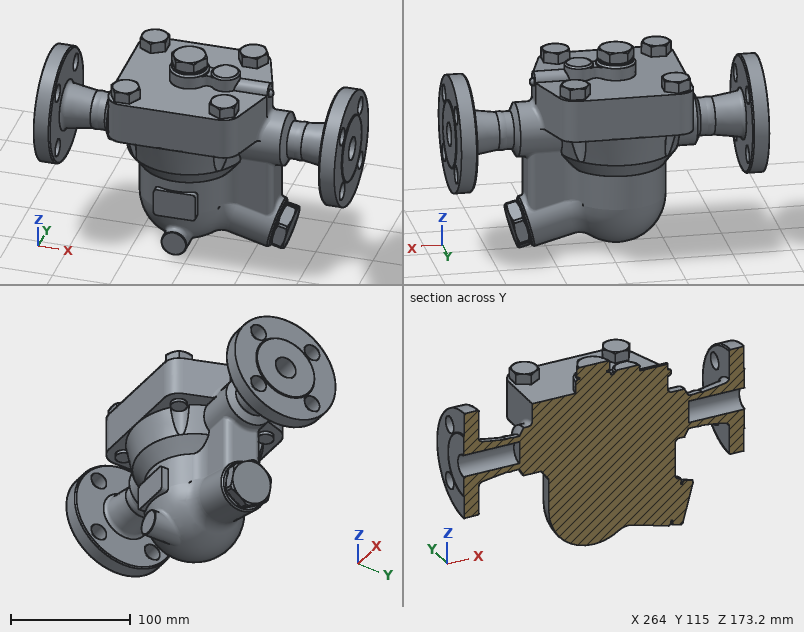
import cadquery as cq
import math


overlap = 1.0
margin = 1.0

pipe_mid_x = 10.0
face_to_face = 264.0
pipe_radius = 16.0
raised_face_radius = 29.0
raised_face_height = 0.7
flange_radius = 50.0
flange_back = 14.8
flange_chamfer = 1.2
flange_bolt_circle = 75.0
flange_hole_diameter = 15.0
flange_hole_count = 4
flange_hole_start_angle = 45.0
bore_diameter = 20.0
neck_root_radius = 22.0
neck_root_length = 3.5
neck_large_radius = 19.2
neck_length = 21.7
bead_length = 6.3
bead_height = 0.5
hub_radius = 23.0
hub_half_length = 79.5
hub_chamfer_length = 4.0
hub_fillet = 3.8

cover_half_width = 57.5
cover_left_x = -57.5
cover_shoulder_x = 53.4
cover_nose_x = 70.0
cover_nose_half_width = 9.0
cover_corner_radius = 14.5
body_flange_bottom_z = 7.2
cover_joint_z = 27.0
cover_top_z = 43.8
bolt_offset = 43.0
hex_trim_angle = 30.0
bolt_head_across_flats = 22.0
bolt_head_height = 9.8
bolt_turns = [(-1, -1, 0), (-1, 1, 30), (1, -1, 30), (1, 1, 0)]
stud_diameter = 14.0
stud_stick_out = 3.0
scoop_diameter = 18.0

plug_boss_radius = 16.7
plug_boss_top_z = 56.4
boss_chamfer = 1.8
plug_neck_diameter = 26.0
plug_neck_height = 1.0
plug_across_flats = 27.0
plug_hex_height = 10.0
cap_x = 31.6
cap_radius = 12.2
cap_chamfer = 1.6
web_top_z = 53.5
web_fillet = 6.0
ridge_radius = 8.0
ridge_axis_z = 42.5
knob_radius = 3.4
knob_z = 41.8

bowl_radius = 42.0
bowl_centre_z = -62.3
bowl_cylinder_top_z = -32.3
shoulder_radius = 52.0
shoulder_z = -18.8
bowl_top_radius = 57.5

pad_width = 36.6
pad_bottom_z = -66.6
pad_height = 24.8
pad_front_y = -44.2
pad_back_y = -30.0
pad_corner_radius = 3.0
drain_diameter = 22.0
drain_z = -90.6
drain_front_y = -46.0
drain_chamfer = 0.5
drain_fillet = 3.0

branch_tilt = 15.0
branch_radius = 22.0
branch_length = 80.5
branch_chamfer = 1.5
branch_fillet = 16.4
branch_neck_diameter = 34.0
branch_neck_height = 1.0
branch_plug_across_flats = 37.0
branch_plug_corner_radius = 20.7
branch_plug_height = 10.6

rib_end_x = 77.2
rib_half_width = 17.2
rib_edge_fillet = 6.0
rib_bowl_fillet = 16.8
rib_bottom_z = -70.0
rib_joint_fillet = 3.0
rib_joint_top_z = -59.0


def cylinder(radius, z_low, z_high, x=0.0, y=0.0):
    return cq.Workplane("XY", origin=(x, y, z_low)).circle(radius).extrude(z_high - z_low)


def hexagon(across_flats, height, chamfer_bottom=False, rounded_radius=None):
    """Hexagon head on z = 0, vertices on X, ends trimmed by a flat cone.

    With rounded_radius, the six corners are also turned down to that radius.
    """
    corner = across_flats / math.sqrt(3)
    flat = across_flats / 2
    outer = rounded_radius or corner
    drop = (outer - flat) * math.tan(math.radians(hex_trim_angle))
    head = cq.Workplane("XY").polygon(6, 2 * corner).extrude(height)
    trim = cq.Workplane("XZ")
    if chamfer_bottom:
        trim = trim.lineTo(flat, 0).lineTo(outer, drop)
    else:
        trim = trim.lineTo(outer, 0)
    trim = trim.lineTo(outer, height - drop).lineTo(flat, height).lineTo(0, height).close()
    return head.intersect(trim.revolve(360, (0, 0), (0, 1)))


def cover_plate(z_low, z_high):
    outline = [
        (cover_left_x, -cover_half_width),
        (cover_shoulder_x, -cover_half_width),
        (cover_nose_x, -cover_nose_half_width),
        (cover_nose_x, cover_nose_half_width),
        (cover_shoulder_x, cover_half_width),
        (cover_left_x, cover_half_width),
    ]
    plate = cq.Workplane("XY", origin=(0, 0, z_low)).polyline(outline).close().extrude(z_high - z_low)
    return plate.edges("|Z").edges("<Y or >Y").fillet(cover_corner_radius)


def hub_rod():
    """Plain hub barrel through the body, without its tapered ends."""
    length = 2 * (hub_half_length - hub_chamfer_length)
    return cq.Workplane("YZ", origin=(pipe_mid_x - length / 2, 0, 0)).circle(hub_radius).extrude(length)


def body_flange():
    """Flange plate with the hub barrel blended into its end faces."""
    plate = cover_plate(body_flange_bottom_z, cover_joint_z)
    above = cq.Workplane("XY", origin=(pipe_mid_x, 0, body_flange_bottom_z)).rect(
        face_to_face, 2 * cover_half_width
    ).extrude(hub_radius)
    joined = plate.union(hub_rod().intersect(above))
    left_joint = cq.selectors.BoxSelector(
        (cover_left_x - margin, -hub_radius - margin, body_flange_bottom_z + margin),
        (cover_left_x + margin, hub_radius + margin, hub_radius + margin),
    )
    right_joint = cq.selectors.BoxSelector(
        (cover_shoulder_x, -hub_radius - margin, body_flange_bottom_z + margin),
        (cover_nose_x + margin, hub_radius + margin, hub_radius + margin),
    )
    return joined.edges(left_joint + right_joint).fillet(hub_fillet)


def pipe_half():
    """Right half of the pipe run: hub end, weld bead, neck and flange."""
    face = face_to_face / 2
    rim = face - raised_face_height
    back = face - flange_back
    root = back - neck_root_length
    neck = root - neck_length
    bead = neck - bead_length
    hub_taper = hub_half_length - hub_chamfer_length
    half = (
        cq.Workplane("XY")
        .moveTo(0, 0)
        .lineTo(0, hub_radius)
        .lineTo(hub_taper, hub_radius)
        .lineTo(hub_half_length, pipe_radius)
        .lineTo(bead, pipe_radius)
        .threePointArc((bead + bead_length / 2, pipe_radius + bead_height), (neck, pipe_radius))
        .lineTo(root, neck_large_radius)
        .tangentArcPoint((back, neck_root_radius), relative=False)
        .lineTo(back, flange_radius - flange_chamfer)
        .lineTo(back + flange_chamfer, flange_radius)
        .lineTo(rim, flange_radius)
        .lineTo(rim, raised_face_radius)
        .lineTo(face, raised_face_radius - raised_face_height)
        .lineTo(face, 0)
        .close()
        .revolve(360, (0, 0, 0), (1, 0, 0))
    )
    holes = cq.Workplane("YZ", origin=(back, 0, 0)).polarArray(
        flange_bolt_circle / 2, flange_hole_start_angle, 360, flange_hole_count
    ).circle(flange_hole_diameter / 2).extrude(flange_back)
    return half.cut(holes)


def pipe_run():
    half = pipe_half()
    return half.union(half.mirror("YZ")).translate((pipe_mid_x, 0, 0))


def bores():
    """Blind bores from each gasket face to the end of the hub."""
    depth = face_to_face / 2 - hub_half_length
    bore = cq.Workplane("YZ", origin=(hub_half_length, 0, 0)).circle(bore_diameter / 2).extrude(depth)
    return bore.union(bore.mirror("YZ")).translate((pipe_mid_x, 0, 0))


def bowl():
    profile = (
        cq.Workplane("XZ")
        .moveTo(0, bowl_centre_z - bowl_radius)
        .threePointArc(
            (bowl_radius * math.sqrt(0.5), bowl_centre_z - bowl_radius * math.sqrt(0.5)),
            (bowl_radius, bowl_centre_z),
        )
        .lineTo(bowl_radius, bowl_cylinder_top_z)
        .lineTo(shoulder_radius, shoulder_z)
        .lineTo(bowl_top_radius, body_flange_bottom_z)
        .lineTo(0, body_flange_bottom_z)
        .close()
    )
    solid = profile.revolve(360, (0, 0), (0, 1))
    for x in (-bolt_offset, bolt_offset):
        for y in (-bolt_offset, bolt_offset):
            solid = solid.cut(cylinder(scoop_diameter / 2, shoulder_z, body_flange_bottom_z, x, y))
    return solid


def cover_bolts():
    """Stud ends showing under the body flange, and hexagon heads, each turned as it was tightened."""
    head = hexagon(bolt_head_across_flats, bolt_head_height)
    stud_bottom_z = body_flange_bottom_z - stud_stick_out
    studs = cq.Workplane("XY")
    heads = cq.Workplane("XY")
    for x_side, y_side, turn in bolt_turns:
        x = x_side * bolt_offset
        y = y_side * bolt_offset
        studs = studs.union(cylinder(stud_diameter / 2, stud_bottom_z, cover_joint_z, x, y))
        heads = heads.union(head.rotate((0, 0, 0), (0, 0, 1), turn).translate((x, y, cover_top_z)))
    return studs, heads


def cover_fittings():
    """Plug boss with its plug, the round cap, the web between them, the ridge and its knob."""
    boss = cylinder(plug_boss_radius, cover_joint_z, plug_boss_top_z).faces(">Z").chamfer(boss_chamfer)
    plug_base_z = plug_boss_top_z + plug_neck_height
    neck = cylinder(plug_neck_diameter / 2, plug_boss_top_z - overlap, plug_base_z + overlap)
    plug = hexagon(plug_across_flats, plug_hex_height, True).translate((0, 0, plug_base_z))
    cap = cylinder(cap_radius, cover_joint_z, plug_boss_top_z, cap_x).faces(">Z").chamfer(cap_chamfer)

    reach_boss = plug_boss_radius + web_fillet
    reach_cap = cap_radius + web_fillet
    arc_x = (cap_x**2 + reach_boss**2 - reach_cap**2) / (2 * cap_x)
    arc_y = math.sqrt(reach_boss**2 - arc_x**2)
    web = cq.Workplane("XY", origin=(0, 0, cover_joint_z)).polyline(
        [(0, 0), (arc_x, arc_y), (cap_x, 0), (arc_x, -arc_y)]
    ).close().extrude(web_top_z - cover_joint_z)
    for side in (-1, 1):
        web = web.cut(cylinder(web_fillet, cover_joint_z, web_top_z, arc_x, side * arc_y))

    ridge_start = cq.Workplane("YZ", origin=(cap_x, 0, ridge_axis_z))
    ridge = ridge_start.circle(ridge_radius).extrude(cover_nose_x - cap_x)
    knob = cq.Workplane("XY").sphere(knob_radius).translate((cover_nose_x, 0, knob_z))
    return boss.union(neck).union(plug).union(cap).union(web).union(ridge).union(knob)


def pad():
    return (
        cq.Workplane("XY", origin=(0, (pad_front_y + pad_back_y) / 2, pad_bottom_z + pad_height / 2))
        .box(pad_width, pad_back_y - pad_front_y, pad_height)
        .edges("|Y").fillet(pad_corner_radius)
    )


def drain():
    """Drain stub pointing to -Y, its end lightly chamfered."""
    radius = drain_diameter / 2
    stub = cq.Workplane("XZ", origin=(0, 0, drain_z)).circle(radius).extrude(-drain_front_y)
    return stub.faces("<Y").chamfer(drain_chamfer)


def tilt_branch(solid):
    """Carry a solid built along Z to the branch axis."""
    return solid.rotate((0, 0, 0), (0, 1, 0), 90 + branch_tilt).translate((0, 0, bowl_centre_z))


def branch():
    """Branch barrel, flared by an arc tangent to the spherical bowl."""
    reach = bowl_radius + branch_fillet
    arc_radial = branch_radius + branch_fillet
    arc_axial = math.sqrt(reach**2 - arc_radial**2)
    touch = bowl_radius / reach
    mid_angle = math.atan2(arc_axial, arc_radial) / 2
    barrel = (
        cq.Workplane("XZ")
        .moveTo(0, 0)
        .lineTo(arc_radial * touch, arc_axial * touch)
        .threePointArc(
            (
                arc_radial - branch_fillet * math.cos(mid_angle),
                arc_axial - branch_fillet * math.sin(mid_angle),
            ),
            (branch_radius, arc_axial),
        )
        .lineTo(branch_radius, branch_length - branch_chamfer)
        .lineTo(branch_radius - branch_chamfer, branch_length)
        .lineTo(0, branch_length)
        .close()
        .revolve(360, (0, 0), (0, 1))
    )
    return tilt_branch(barrel)


def branch_plug():
    base = branch_length + branch_neck_height
    neck = cylinder(branch_neck_diameter / 2, branch_length - overlap, base + overlap)
    head = hexagon(branch_plug_across_flats, branch_plug_height, True, branch_plug_corner_radius)
    return tilt_branch(neck.union(head.translate((0, 0, base))))


def rib():
    """Vertical rib under the right hub, with its root curving into the bowl."""
    height = -rib_bottom_z
    arc_y = rib_half_width + rib_bowl_fillet
    reach = bowl_radius + rib_bowl_fillet
    arc_x = math.sqrt(reach**2 - arc_y**2)
    plate = (
        cq.Workplane("XY", origin=(rib_end_x / 2, 0, rib_bottom_z))
        .rect(rib_end_x, 2 * rib_half_width).extrude(height)
        .edges("|Z and >X").fillet(rib_edge_fillet)
    )
    root = cq.Workplane("XY", origin=(0, 0, rib_bottom_z)).polyline(
        [(0, 0), (arc_x, -arc_y), (arc_x, arc_y)]
    ).close().extrude(height)
    for side in (-1, 1):
        root = root.cut(cylinder(rib_bowl_fillet, rib_bottom_z, 0, arc_x, side * arc_y))
    return plate.union(root)


def casting():
    """Lower casting: bowl, branch, rib, drain, pad and pipe run, with their joints rounded."""
    branch_joint = cq.selectors.BoxSelector(
        (bowl_radius / 2, -shoulder_radius, rib_bottom_z),
        (rib_end_x + margin, shoulder_radius, rib_joint_top_z),
    )
    hub_joint = cq.selectors.BoxSelector(
        (shoulder_radius, -rib_half_width - margin, -hub_radius - margin),
        (rib_end_x + margin, rib_half_width + margin, -hub_radius / 2),
    )
    drain_joint = cq.selectors.BoxSelector(
        (-drain_diameter, drain_front_y + 2 * drain_chamfer, bowl_centre_z - bowl_radius),
        (drain_diameter, 0, drain_z + drain_diameter),
    )
    solid = rib().union(branch()).union(bowl()).edges(branch_joint).fillet(rib_joint_fillet)
    solid = solid.union(drain()).edges(drain_joint).fillet(drain_fillet)
    solid = solid.union(body_flange()).union(pipe_run()).edges(hub_joint).fillet(rib_joint_fillet)
    return solid.union(pad()).union(branch_plug()).cut(bores())


studs, heads = cover_bolts()
lower = casting().union(studs)
upper = cover_plate(cover_joint_z, cover_top_z).union(cover_fittings()).union(heads)
result = lower.union(upper, clean=False)